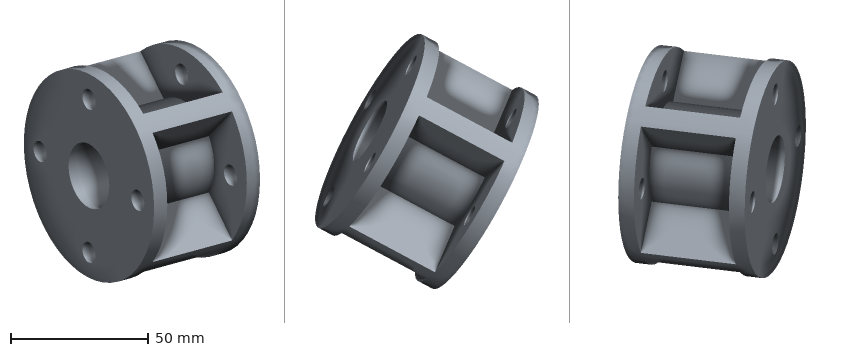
import cadquery as cq

flange_diameter = 80.0
spool_length = 48.0
flange_thickness = 6.0

hub_diameter = 40.0
bore_diameter = 25.0

rib_thickness = 8.0
rib_angles = (45.0, 135.0)

bolt_hole_count = 4
bolt_hole_diameter = 8.0
bolt_circle_diameter = 60.0

flange_offset = (spool_length - flange_thickness) / 2
rib_length = spool_length - 2 * flange_thickness


def cylinder_along_y(diameter, length, center_y=0.0):
    """Solid cylinder on the spool axis, centred at center_y."""
    back_end = center_y + length / 2
    return cq.Workplane("XZ", origin=(0, back_end, 0)).circle(diameter / 2).extrude(length)


def make_ribs():
    """Diametral plates crossing at the axis, trimmed to the flange diameter."""
    plates = cq.Workplane("XZ")
    for angle in rib_angles:
        plate = cq.Workplane("XY").box(flange_diameter, rib_length, rib_thickness)
        plates = plates.add(plate.rotate((0, 0, 0), (0, 1, 0), angle))
    return plates.combine().intersect(cylinder_along_y(flange_diameter, rib_length))


def make_bolt_holes():
    """Axial drill cylinders spaced evenly on the bolt circle."""
    return (
        cq.Workplane("XZ", origin=(0, spool_length / 2, 0))
        .polarArray(bolt_circle_diameter / 2, 0, 360, bolt_hole_count)
        .circle(bolt_hole_diameter / 2)
        .extrude(spool_length)
    )


spool = cylinder_along_y(hub_diameter, spool_length).union(make_ribs())
for side in (-1, 1):
    spool = spool.union(cylinder_along_y(flange_diameter, flange_thickness, side * flange_offset))

spool = spool.cut(cylinder_along_y(bore_diameter, spool_length))
result = spool.cut(make_bolt_holes())